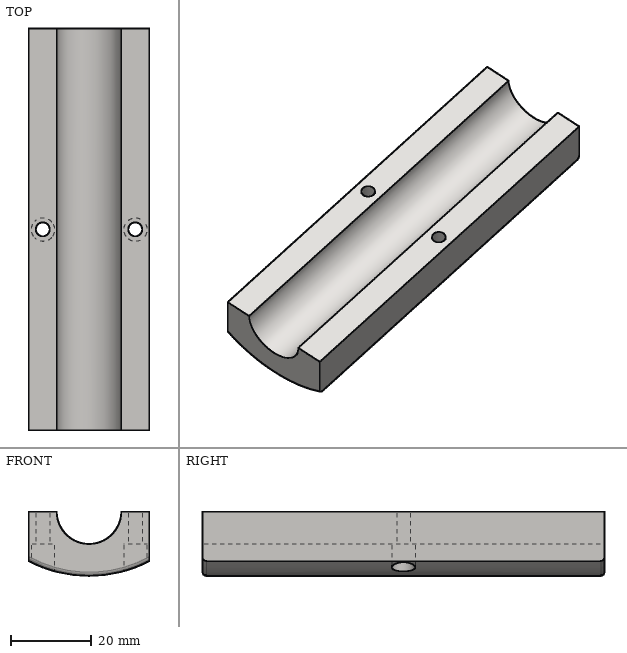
import cadquery as cq
import math

WIDTH = 30.0
LENGTH = 100.0
HEIGHT = 16.0

BORE_RADIUS = 8.0
BOTTOM_RADIUS = 32.0
END_FILLET = 1.0

SCREW_HOLE_DIAMETER = 3.4
HEAD_DIAMETER = 5.8
HEAD_SEAT_Z = -BORE_RADIUS

SCREW_X = (BORE_RADIUS + WIDTH / 2) / 2


def make_body():
    """Block with a flat top, straight sides and a convex cylindrical bottom."""
    half_width = WIDTH / 2
    sagitta = BOTTOM_RADIUS - math.sqrt(BOTTOM_RADIUS**2 - half_width**2)
    side_bottom_z = -HEIGHT + sagitta
    return (
        cq.Workplane("XZ", origin=(0, LENGTH / 2, 0))
        .moveTo(-half_width, 0)
        .lineTo(-half_width, side_bottom_z)
        .threePointArc((0, -HEIGHT), (half_width, side_bottom_z))
        .lineTo(half_width, 0)
        .close()
        .extrude(LENGTH)
    )


def round_bottom_ends(body):
    """Fillet the curved bottom edge at both end faces."""
    return body.faces("<Y or >Y").edges("%CIRCLE").fillet(END_FILLET)


def make_bore():
    """Cylinder that leaves a half-round channel along the full length."""
    return cq.Workplane("XZ", origin=(0, LENGTH / 2, 0)).circle(BORE_RADIUS).extrude(LENGTH)


def make_screw_cutter(x):
    """Vertical through hole with a screw head recess opening at the bottom."""
    hole = cq.Workplane("XY").center(x, 0).circle(SCREW_HOLE_DIAMETER / 2).extrude(-HEIGHT)
    recess = (
        cq.Workplane("XY", origin=(x, 0, -HEIGHT))
        .circle(HEAD_DIAMETER / 2)
        .extrude(HEIGHT + HEAD_SEAT_Z)
    )
    return hole.union(recess)


result = round_bottom_ends(make_body()).cut(make_bore())
for screw_x in (-SCREW_X, SCREW_X):
    result = result.cut(make_screw_cutter(screw_x))